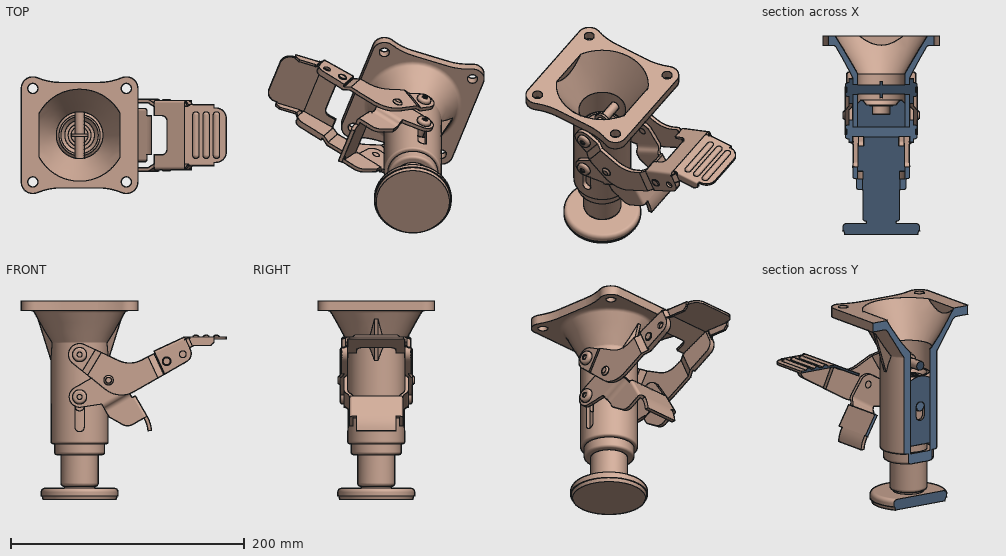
import cadquery as cq
import math

total_height = 170.0
sheet = 3.2
pin_radius = 4.0

plate_half = 50.0
plate_thickness = 8.3
plate_waist_half = 45.2
plate_waist_flat_half = 16.0
corner_radius = 10.0
bolt_hole_radius = 4.25
tube_radius = 24.5
tube_bottom = 47.7
tube_bottom_fillet = 1.8
collar_radius = 21.5
collar_bottom = 38.3
collar_fillet = 2.2
cone_base = 134.1
cone_top_radius = 39.6
cone_top_fillet = 4.0
cone_base_fillet = 2.0
bore_radius = 20.0
mouth_radius = 39.4
mouth_base = 137.5
mouth_flat_half = 34.6
fin_top = 154.5
fin_bottom = 119.0
fin_crest_half = 1.5
fin_root_half = 15.0
slot_bottom = 58.0

shaft_radius = 16.0
shaft_bottom = 11.2
shaft_fillet = 2.8
neck_radius = 13.0
foot_radius = 33.0
foot_height = 9.7
foot_fillet = 3.5
foot_step_height = 3.2
foot_step_radius = 32.3
foot_bottom_radius = 31.3
head_bottom = 54.0
head_top = 115.0
head_chamfer = 2.4
dish_top_radius = 16.0
dish_floor_radius = 12.7
dish_depth = 4.0
dish_step_radius = 9.8
dish_step_depth = 1.0
dish_hole_radius = 7.3
dish_hole_depth = 8.0
pin_pocket_length = 8.0
pin_pocket_depth = 5.0

upper_pivot = (0.0, 124.0)
lower_pivot = (0.0, 87.8)
pivot_head_radius = 6.1
pivot_head_fillet = 2.1
pivot_socket_radius = 2.2
pivot_socket_depth = 1.2
pin_ring_radius = 7.0
pin_ring_width = 2.2

inner_layer = tube_radius
outer_layer = inner_layer + sheet
outside = outer_layer + sheet

lever_eye_radius = 9.5
lever_top_angle = -23.7
lever_bottom_angle = -39.2
lever_far_angle = 29.8
lever_top_elbow = (43.2, 114.45)
lever_bottom_elbow = (33.8, 84.9)
lever_elbow_radius = 22.0
eye_jog_angle = -31.0
eye_jog = (9.3, 15.1)

pedal_angle = 25.0
pedal_peak = (89.8, 139.2)
pedal_length = 28.8
pedal_sheet = 2.0
pedal_outside = outer_layer + pedal_sheet
pedal_jog = (-35.5, -29.8)
pedal_end_radius = 8.0
pedal_bend_radius = 2.5
pedal_notch_half = 16.7
pedal_notch_end = 74.7
pedal_notch_radius = 4.5
pedal_rivet = (74.5, 118.3)
pedal_rivet_radius = 3.7
pedal_rivet_height = 0.8
pedal_rivet_chamfer = 0.7
pedal_hole = (88.3, 124.3)
pedal_hole_radius = 2.9

tread_end = 125.56
tread_half = 26.2
tread_tip_half = 23.4
tread_tip_radius = 9.0
tread_skirt_end = 115.2
tread_bend_radius = 1.4
tread_skirt_depth = 7.6
tread_skirt_corner = 3.1
neck_run = 2.8
neck_depth = 10.3
bead_first = 99.5
bead_pitch = 8.8
bead_count = 3
bead_width = 5.6
bead_height = 1.6
bead_half_length = 20.0

link_angle = 30.0
link_eye_radius = 8.9
joint_distance = 28.6
joint_pin_radius = 3.0
joint_head_radius = 4.1
joint_head_height = 1.9
joint_head_chamfer = 1.6
link_near_edge = 13.3
link_far_edge = 38.6
link_jog = (14.7, 23.0)
link_flap_outside = 22.9
flap_corner_start = 27.6
flap_bottom = 43.2
flap_corner_end = 22.5
flap_corner_radius = 9.0
tab_half = 16.7
tab_length = 11.5
tab_turn = -25.0
web_bend_radius = 2.5


def frame_point(origin, angle, along, across):
    """XZ point at `along` in direction `angle` and `across` to the left of it."""
    a = math.radians(angle)
    x = origin[0] + along * math.cos(a) - across * math.sin(a)
    z = origin[1] + along * math.sin(a) + across * math.cos(a)
    return (x, z)


def side_prism(outline, y_from, y_to):
    """Extrude a closed XZ outline (a Workplane on XZ) from y_from to y_to."""
    return outline.extrude(-(y_to - y_from)).translate((0, y_from, 0))


def y_cylinder(center, radius, y_from, y_to):
    outline = cq.Workplane("XZ").center(*center).circle(radius)
    return side_prism(outline, y_from, y_to)


def mirrored(body):
    return body.union(body.mirror("XZ"))


def framed_plane(origin, angle):
    """Workplane whose axes run along the direction `angle` in XZ and along Y."""
    a = math.radians(angle)
    plane = cq.Plane(
        origin=(origin[0], 0, origin[1]),
        xDir=(math.cos(a), 0, math.sin(a)),
        normal=(-math.sin(a), 0, math.cos(a)),
    )
    return cq.Workplane(plane)


def framed_sweep(profile, origin, angle, half_length):
    """Extrude an (along, y) profile to both sides across the direction `angle` in XZ."""
    return framed_plane(origin, angle).polyline(profile).close().extrude(half_length, both=True)


def pivot_pin(pivot):
    """Pin through the column with a rounded, socketed head outside each sheet."""
    head = y_cylinder(pivot, pivot_head_radius, outer_layer, outside)
    head = head.faces(">Y").edges().fillet(pivot_head_fillet)
    socket = y_cylinder(pivot, pivot_socket_radius, outside - pivot_socket_depth, outside)
    shank = y_cylinder(pivot, pin_radius, -outer_layer, outer_layer)
    return shank.union(mirrored(head.cut(socket)))


plate_bottom = total_height - plate_thickness
cone_slope = (cone_top_radius - tube_radius) / (plate_bottom - cone_base)


def plate():
    corner_center = plate_half - corner_radius
    dx = corner_center - plate_waist_flat_half
    dy = plate_waist_half - corner_center
    waist_radius = (dx**2 + dy**2 - corner_radius**2) / (2 * (corner_radius - dy))
    waist_center = (plate_waist_flat_half, plate_waist_half + waist_radius)
    share = corner_radius / (waist_radius + corner_radius)
    join = (
        corner_center - share * dx,
        corner_center + share * (waist_center[1] - corner_center),
    )
    half_turn = math.asin(dx / (waist_radius + corner_radius)) / 2
    waist_mid = (
        waist_center[0] + waist_radius * math.sin(half_turn),
        waist_center[1] - waist_radius * math.cos(half_turn),
    )
    corner_mid_angle = (math.pi / 2 + 2 * half_turn) / 2
    corner_mid = (
        corner_center + corner_radius * math.cos(corner_mid_angle),
        corner_center + corner_radius * math.sin(corner_mid_angle),
    )
    quarter = (
        cq.Workplane("XY", origin=(0, 0, plate_bottom))
        .lineTo(0, plate_waist_half)
        .lineTo(plate_waist_flat_half, plate_waist_half)
        .threePointArc(waist_mid, join)
        .threePointArc(corner_mid, (plate_half, corner_center))
        .lineTo(plate_half, 0)
        .close()
        .extrude(plate_thickness)
    )
    half = quarter.union(quarter.mirror("YZ"))
    holes = (
        cq.Workplane("XY", origin=(0, 0, plate_bottom))
        .rect(2 * corner_center, 2 * corner_center, forConstruction=True)
        .vertices()
        .circle(bolt_hole_radius)
        .extrude(plate_thickness)
    )
    return mirrored(half).cut(holes)


def ring_selector(radius, z):
    """Select circular edges around the column axis at height z, up to the given radius."""
    margin = 0.5
    size = radius + margin
    corners = (-size, -size, z - margin), (size, size, z + margin)
    return cq.selectors.BoxSelector(*corners, boundingbox=True)


def column():
    tube = cq.Workplane("XY", origin=(0, 0, tube_bottom)).circle(tube_radius).extrude(cone_base - tube_bottom)
    tube = tube.faces("<Z").edges().fillet(tube_bottom_fillet)
    collar = (
        cq.Workplane("XY", origin=(0, 0, collar_bottom))
        .circle(collar_radius)
        .extrude(cone_base - collar_bottom)
        .faces("<Z")
        .edges()
        .fillet(collar_fillet)
    )
    cone = (
        cq.Workplane("XZ")
        .moveTo(0, cone_base)
        .lineTo(tube_radius, cone_base)
        .lineTo(cone_top_radius, plate_bottom)
        .lineTo(0, plate_bottom)
        .close()
        .revolve(360, (0, 0, 0), (0, 1, 0))
    )
    body = tube.union(collar).union(cone)
    return body.edges(ring_selector(tube_radius, cone_base)).fillet(cone_base_fillet)


def fin():
    """Wedge fin on +X that bridges the cone and the tube with a narrow crest."""
    fin_top_radius = tube_radius + cone_slope * (fin_top - cone_base)
    side = (
        cq.Workplane("XZ")
        .moveTo(bore_radius, fin_bottom)
        .lineTo(tube_radius, fin_bottom)
        .lineTo(fin_top_radius, fin_top)
        .lineTo(bore_radius, fin_top)
        .close()
        .extrude(fin_root_half, both=True)
    )
    crest_run = fin_top_radius - tube_radius
    widening = fin_root_half - fin_crest_half
    bottom = [
        (tube_radius - widening, -fin_root_half),
        (tube_radius, -fin_crest_half),
        (tube_radius, fin_crest_half),
        (tube_radius - widening, fin_root_half),
    ]
    top = [(x + crest_run, y) for x, y in bottom]
    wedge = (
        cq.Workplane("XY", origin=(0, 0, fin_bottom))
        .polyline(bottom)
        .close()
        .workplane(offset=fin_top - fin_bottom)
        .polyline(top)
        .close()
        .loft(ruled=True)
    )
    return side.intersect(wedge)


def housing_cavity():
    mouth = (
        cq.Workplane("XZ")
        .moveTo(0, mouth_base)
        .lineTo(bore_radius, mouth_base)
        .lineTo(mouth_radius, total_height)
        .lineTo(0, total_height)
        .close()
        .revolve(360, (0, 0, 0), (0, 1, 0))
    )
    flats = cq.Workplane("XY").box(2 * mouth_flat_half, 2 * plate_half, 2 * total_height)
    bore = cq.Workplane("XY", origin=(0, 0, tube_bottom)).circle(bore_radius).extrude(mouth_base - tube_bottom)
    guide = cq.Workplane("XY", origin=(0, 0, collar_bottom)).circle(shaft_radius)
    return mouth.intersect(flats).union(bore).union(guide.extrude(tube_bottom - collar_bottom))


def side_slot(z_from, z_to, half_depth):
    """Upright round-ended slot of pin width, cut right across in Y."""
    outline = (
        cq.Workplane("XZ")
        .center(0, (z_from + z_to) / 2)
        .slot2D(z_to - z_from, 2 * pin_radius, 90)
    )
    return side_prism(outline, -half_depth, half_depth)


def make_housing():
    body = plate().union(column())
    body = body.edges(ring_selector(cone_top_radius, plate_bottom)).fillet(cone_top_fillet)
    body = body.union(fin()).union(fin().mirror("YZ"))
    body = body.cut(housing_cavity())
    body = body.cut(y_cylinder(upper_pivot, pin_radius, -tube_radius, tube_radius))
    return body.cut(side_slot(slot_bottom, lower_pivot[1] + pin_radius, tube_radius))


def make_plunger():
    dish_floor = head_top - dish_depth
    arc = math.sqrt(0.5)
    body = (
        cq.Workplane("XZ")
        .lineTo(foot_bottom_radius, 0)
        .lineTo(foot_step_radius, foot_step_height)
        .lineTo(foot_radius, foot_step_height)
        .lineTo(foot_radius, foot_height - foot_fillet)
        .threePointArc(
            (foot_radius - foot_fillet * (1 - arc), foot_height - foot_fillet * (1 - arc)),
            (foot_radius - foot_fillet, foot_height),
        )
        .lineTo(neck_radius, foot_height)
        .lineTo(neck_radius, shaft_bottom)
        .lineTo(shaft_radius - shaft_fillet, shaft_bottom)
        .threePointArc(
            (shaft_radius - shaft_fillet * (1 - arc), shaft_bottom + shaft_fillet * (1 - arc)),
            (shaft_radius, shaft_bottom + shaft_fillet),
        )
        .lineTo(shaft_radius, head_bottom)
        .lineTo(bore_radius, head_bottom)
        .lineTo(bore_radius, head_top - head_chamfer)
        .lineTo(bore_radius - head_chamfer, head_top)
        .lineTo(dish_top_radius, head_top)
        .lineTo(dish_floor_radius, dish_floor)
        .lineTo(dish_step_radius, dish_floor)
        .lineTo(dish_step_radius, dish_floor - dish_step_depth)
        .lineTo(dish_hole_radius, dish_floor - dish_step_depth)
        .lineTo(dish_hole_radius, dish_floor - dish_hole_depth)
        .lineTo(0, dish_floor - dish_hole_depth)
        .close()
        .revolve(360, (0, 0, 0), (0, 1, 0))
    )
    pin_hole = y_cylinder(lower_pivot, pin_radius, -bore_radius, bore_radius)
    pin_top = lower_pivot[1] + pin_radius
    pocket_bottom = pin_top - 2 * pin_radius - pin_pocket_length
    pockets = side_slot(pocket_bottom, pin_top, bore_radius).cut(
        side_slot(pocket_bottom, pin_top, bore_radius - pin_pocket_depth)
    )
    return body.cut(pin_hole).cut(pockets)


joint = frame_point(lower_pivot, link_angle, joint_distance, 0)
reach = 150.0


def lever_outline(y_from, y_to):
    """Elbowed outline from the eye to the end edge, which is square to the pedal cover."""
    top_start = frame_point(upper_pivot, lever_top_angle, 0, lever_eye_radius)
    bottom_start = frame_point(upper_pivot, lever_bottom_angle, 0, -lever_eye_radius)
    eye_back_angle = (lever_top_angle + lever_bottom_angle) / 2
    eye_back = frame_point(upper_pivot, eye_back_angle, -lever_eye_radius, 0)
    under_cover_near = frame_point(pedal_peak, pedal_angle, -pedal_length, -pedal_sheet)
    under_cover_far = frame_point(pedal_peak, pedal_angle, 0, -pedal_sheet)
    cover = math.radians(pedal_angle)
    slope = math.tan(math.radians(lever_far_angle))
    rise = pedal_peak[1] - lever_bottom_elbow[1] - slope * (pedal_peak[0] - lever_bottom_elbow[0])
    end_depth = rise / (math.cos(cover) + slope * math.sin(cover))
    far_bottom = frame_point(pedal_peak, pedal_angle, 0, -end_depth)
    outline = (
        cq.Workplane("XZ")
        .moveTo(*top_start)
        .lineTo(*lever_top_elbow)
        .lineTo(*under_cover_near)
        .lineTo(*under_cover_far)
        .lineTo(*far_bottom)
        .lineTo(*lever_bottom_elbow)
        .lineTo(*bottom_start)
        .threePointArc(eye_back, top_start)
        .close()
    )
    body = side_prism(outline, y_from, y_to)
    rounded_corners = (
        (lever_top_elbow, lever_elbow_radius),
        (lever_bottom_elbow, lever_elbow_radius),
        (far_bottom, pedal_end_radius),
    )
    for (x, z), radius in rounded_corners:
        corner_edge = cq.selectors.NearestToPointSelector((x, (y_from + y_to) / 2, z))
        body = body.edges("|Y").edges(corner_edge).fillet(radius)
    return body


def lever_arm():
    """Sheet arm on +Y: inner layer at the eye, outer layer at the elbow, inner under the pedal."""
    eye_outside = [
        (-reach, outer_layer),
        (eye_jog[0], outer_layer),
        (eye_jog[1], outside),
        (-reach, outside),
    ]
    eye_inside = [
        (eye_jog[0], inner_layer),
        (reach, inner_layer),
        (reach, outer_layer),
        (eye_jog[1], outer_layer),
    ]
    pedal_outside_layer = [
        (pedal_jog[0], outside),
        (pedal_jog[1], outer_layer),
        (reach, outer_layer),
        (reach, outside),
    ]
    pedal_inside = [
        (-reach, inner_layer),
        (pedal_jog[1], inner_layer),
        (pedal_jog[0], outer_layer),
        (-reach, outer_layer),
    ]
    elbow_inside = framed_sweep(eye_inside, upper_pivot, eye_jog_angle, reach).intersect(
        framed_sweep(pedal_inside, pedal_peak, pedal_angle, reach)
    )
    return (
        lever_outline(inner_layer, outside)
        .cut(framed_sweep(eye_outside, upper_pivot, eye_jog_angle, reach))
        .cut(framed_sweep(pedal_outside_layer, pedal_peak, pedal_angle, reach))
        .cut(elbow_inside)
    )


def pedal_cover():
    """Sloping cover with rounded side bends, side walls and a notch in its near edge."""
    cover_area = [
        (-pedal_length, -pedal_outside),
        (0, -pedal_outside),
        (0, pedal_outside),
        (-pedal_length, pedal_outside),
    ]
    block = framed_sweep(cover_area, pedal_peak, pedal_angle, pedal_bend_radius)
    slope = cq.Vector(math.cos(math.radians(pedal_angle)), 0, math.sin(math.radians(pedal_angle)))
    upward = cq.Vector(-slope.z, 0, slope.x)
    block = block.translate(upward * -pedal_bend_radius)
    block = block.faces(cq.selectors.DirectionMinMaxSelector(upward)).edges(
        cq.selectors.ParallelDirSelector(slope)
    ).fillet(pedal_bend_radius)
    hollow_area = [
        (-pedal_length, -outer_layer),
        (0, -outer_layer),
        (0, outer_layer),
        (-pedal_length, outer_layer),
    ]
    hollow = framed_sweep(hollow_area, pedal_peak, pedal_angle, pedal_bend_radius)
    hollow = hollow.translate(upward * -(pedal_sheet + pedal_bend_radius))
    wall_area = [
        (-pedal_length, outer_layer),
        (0, outer_layer),
        (0, pedal_outside),
        (-pedal_length, pedal_outside),
    ]
    wall_middle = frame_point(pedal_peak, pedal_angle, 0, -pedal_bend_radius - reach)
    wall = lever_outline(outer_layer, pedal_outside).intersect(
        framed_sweep(wall_area, wall_middle, pedal_angle, reach)
    )
    notch = (
        cq.Workplane("XY")
        .center(pedal_notch_end - reach / 2, 0)
        .rect(reach, 2 * pedal_notch_half)
        .extrude(total_height)
        .edges("|Z and >X")
        .fillet(pedal_notch_radius)
    )
    return block.cut(hollow).union(mirrored(wall)).cut(notch)


def tread_neck():
    """Side strip on +Y that steps in from the pedal wall to the tread skirt."""
    step = [
        (-pedal_sheet / 2, pedal_outside),
        (0, pedal_outside),
        (neck_run, tread_half),
        (neck_run + pedal_sheet / 2, tread_half),
        (neck_run + pedal_sheet / 2, tread_half - pedal_sheet),
        (neck_run, tread_half - pedal_sheet),
        (0, outer_layer),
        (-pedal_sheet / 2, outer_layer),
    ]
    middle = frame_point(pedal_peak, pedal_angle, 0, -(pedal_sheet + neck_depth) / 2)
    return framed_sweep(step, middle, pedal_angle, (neck_depth - pedal_sheet) / 2)


def tread_bead(x):
    """Low round-ended bead across the tread top."""
    radius = (bead_width**2 / 4 + bead_height**2) / (2 * bead_height)
    axis_z = pedal_peak[1] + bead_height - radius
    straight_half = bead_half_length - bead_width / 2
    bead = y_cylinder((x, axis_z), radius, -straight_half, straight_half)
    for y in (-straight_half, straight_half):
        bead = bead.union(cq.Workplane("XY").sphere(radius).translate((x, y, axis_z)))
    above_tread = cq.Workplane("XY", origin=(x, 0, pedal_peak[1] - pedal_sheet / 2)).rect(reach, reach)
    return bead.intersect(above_tread.extrude(reach))


def tread():
    """Level foot tread with skirts, a narrower rounded tip and cross beads."""
    start = pedal_peak[0]
    bottom = pedal_peak[1] - pedal_sheet
    tip = (
        cq.Workplane("XY", origin=(0, 0, bottom))
        .moveTo((start + tread_end) / 2, 0)
        .rect(tread_end - start, 2 * tread_tip_half)
        .extrude(pedal_sheet)
        .edges("|Z and >X")
        .fillet(tread_tip_radius)
    )
    cover = math.radians(pedal_angle)
    rise = neck_run * math.sin(cover)
    top_start = frame_point(pedal_peak, pedal_angle, neck_run, -rise / math.cos(cover))
    lower_drop = (rise + tread_skirt_depth) / math.cos(cover)
    bottom_start = frame_point(pedal_peak, pedal_angle, neck_run, -lower_drop)
    skirt_outline = cq.Workplane("XZ").polyline(
        [
            top_start,
            (tread_skirt_end, pedal_peak[1]),
            (tread_skirt_end, bottom_start[1] + tread_skirt_corner),
            (tread_skirt_end - tread_skirt_corner, bottom_start[1]),
            bottom_start,
        ]
    ).close()
    skirts = side_prism(skirt_outline, -tread_half, tread_half)
    skirts = skirts.edges("|X and >Z").fillet(tread_bend_radius)
    hollow = (
        cq.Workplane("XY", origin=(0, 0, bottom - reach))
        .rect(2 * reach, 2 * (tread_half - pedal_sheet))
        .extrude(reach)
    )
    skirts = skirts.cut(hollow)
    root = (
        cq.Workplane("XY", origin=(0, 0, bottom))
        .moveTo((start + bottom_start[0]) / 2, 0)
        .rect(bottom_start[0] - start, 2 * (tread_half - tread_bend_radius))
        .extrude(pedal_sheet)
    )
    body = tip.union(root).union(skirts)
    for i in range(bead_count):
        body = body.union(tread_bead(bead_first + i * bead_pitch))
    return body


def joint_rivet():
    """Rivet on +Y that carries the link on the lever."""
    shank = y_cylinder(joint, joint_pin_radius, inner_layer, outside)
    head = y_cylinder(joint, joint_head_radius, outside, outside + joint_head_height)
    return shank.union(head.faces(">Y").chamfer(joint_head_chamfer))


def make_lever():
    pedal_hole_cut = y_cylinder(pedal_hole, pedal_hole_radius, outer_layer, pedal_outside)
    rivet_outside = pedal_outside + pedal_rivet_height
    pedal_rivet_head = y_cylinder(pedal_rivet, pedal_rivet_radius, pedal_outside, rivet_outside)
    pedal_rivet_head = pedal_rivet_head.faces(">Y").chamfer(pedal_rivet_chamfer)
    side = lever_arm().union(tread_neck()).union(joint_rivet()).union(pedal_rivet_head)
    ring = y_cylinder(upper_pivot, pin_ring_radius, -pin_ring_width / 2, pin_ring_width / 2)
    body = mirrored(side).union(pedal_cover()).union(tread())
    body = body.union(pivot_pin(upper_pivot)).union(ring)
    return body.cut(pedal_hole_cut).cut(pedal_hole_cut.mirror("XZ"))


def link_point(along, down):
    return frame_point(lower_pivot, link_angle, along, -down)


def link_side():
    """Sheet side on +Y: eye and joint on the inner layer, lower flap jogged towards the tube."""
    diagonal = math.sqrt(0.5) * link_eye_radius
    jog_distance = math.hypot(link_near_edge, link_jog[0])
    tangent_angle = math.atan2(link_jog[0], link_near_edge) + math.acos(link_eye_radius / jog_distance)
    link_eye_tangent = link_point(
        link_eye_radius * math.cos(tangent_angle),
        link_eye_radius * math.sin(tangent_angle),
    )
    outline = (
        cq.Workplane("XZ")
        .moveTo(*link_point(0, -link_eye_radius))
        .lineTo(*link_point(joint_distance, -link_eye_radius))
        .threePointArc(
            link_point(joint_distance + diagonal, -diagonal),
            link_point(joint_distance + link_eye_radius, 0),
        )
        .lineTo(*link_point(link_far_edge, link_jog[0]))
        .lineTo(*link_point(link_far_edge, flap_bottom))
        .lineTo(*link_point(flap_corner_end, flap_bottom))
        .lineTo(*link_point(link_near_edge, flap_corner_start))
        .lineTo(*link_point(link_near_edge, link_jog[0]))
        .lineTo(*link_eye_tangent)
        .threePointArc(link_point(-link_eye_radius, 0), link_point(0, -link_eye_radius))
        .close()
    )
    flap_inside = link_flap_outside - sheet
    prism = side_prism(outline, flap_inside, outer_layer)
    x, z = link_point(flap_corner_end, flap_bottom)
    corner_edge = cq.selectors.NearestToPointSelector((x, (flap_inside + outer_layer) / 2, z))
    prism = prism.edges("|Y").edges(corner_edge).fillet(flap_corner_radius)
    run = link_jog[1] - link_jog[0]
    step_in = inner_layer - flap_inside
    bend_radius = (run**2 + step_in**2) / (4 * step_in)
    half_bend = math.atan(step_in / run)
    along = bend_radius * math.sin(half_bend)
    aside = bend_radius * (1 - math.cos(half_bend))
    middle = link_jog[0] + run / 2

    def first_arc_middle(y):
        return (link_jog[0] + along, y - aside)

    def second_arc_middle(y):
        return (link_jog[1] - along, y - step_in + aside)

    strip = (
        framed_plane(lower_pivot, link_angle - 90)
        .moveTo(-reach, inner_layer)
        .lineTo(link_jog[0], inner_layer)
        .threePointArc(first_arc_middle(inner_layer), (middle, inner_layer - step_in / 2))
        .threePointArc(second_arc_middle(inner_layer), (link_jog[1], flap_inside))
        .lineTo(reach, flap_inside)
        .lineTo(reach, link_flap_outside)
        .lineTo(link_jog[1], link_flap_outside)
        .threePointArc(second_arc_middle(outer_layer), (middle, outer_layer - step_in / 2))
        .threePointArc(first_arc_middle(outer_layer), (link_jog[0], outer_layer))
        .lineTo(-reach, outer_layer)
        .close()
        .extrude(reach, both=True)
    )
    hole = y_cylinder(joint, joint_pin_radius, inner_layer, outer_layer)
    return prism.intersect(strip).cut(hole)


def link_web():
    """Cross web bent off the far flap edges."""
    outline = (
        cq.Workplane("XZ")
        .moveTo(*link_point(link_far_edge, link_jog[1]))
        .lineTo(*link_point(link_far_edge + sheet, link_jog[1]))
        .lineTo(*link_point(link_far_edge + sheet, flap_bottom))
        .lineTo(*link_point(link_far_edge, flap_bottom))
        .close()
    )
    web = side_prism(outline, -link_flap_outside, link_flap_outside)
    web_angle = math.radians(link_angle - 90)
    web_direction = cq.Vector(math.cos(web_angle), 0, math.sin(web_angle))
    web_normal = cq.Vector(-web_direction.z, 0, web_direction.x)
    outer_face = web.faces(cq.selectors.DirectionMinMaxSelector(web_normal))
    outer_bends = outer_face.edges(cq.selectors.ParallelDirSelector(web_direction))
    return outer_bends.fillet(web_bend_radius)


def release_tab():
    """Narrow tab that continues the web and curls towards the column."""
    tab_top_inside = link_point(link_far_edge, flap_bottom)
    tab_top_outside = link_point(link_far_edge + sheet, flap_bottom)
    inside_radius = tab_length / math.radians(abs(tab_turn))
    center = link_point(link_far_edge - inside_radius, flap_bottom)

    def on_arc(radius, turn):
        return frame_point(center, link_angle + turn, radius, 0)

    outline = (
        cq.Workplane("XZ")
        .moveTo(*tab_top_inside)
        .lineTo(*tab_top_outside)
        .threePointArc(on_arc(inside_radius + sheet, tab_turn / 2), on_arc(inside_radius + sheet, tab_turn))
        .lineTo(*on_arc(inside_radius, tab_turn))
        .threePointArc(on_arc(inside_radius, tab_turn / 2), tab_top_inside)
        .close()
    )
    return side_prism(outline, -tab_half, tab_half)


def make_link():
    return mirrored(link_side()).union(link_web()).union(release_tab()).union(pivot_pin(lower_pivot))


housing = make_housing()
plunger = make_plunger()
lever = make_lever()
link = make_link()
result = cq.Compound.makeCompound([housing.val(), plunger.val(), lever.val(), link.val()])